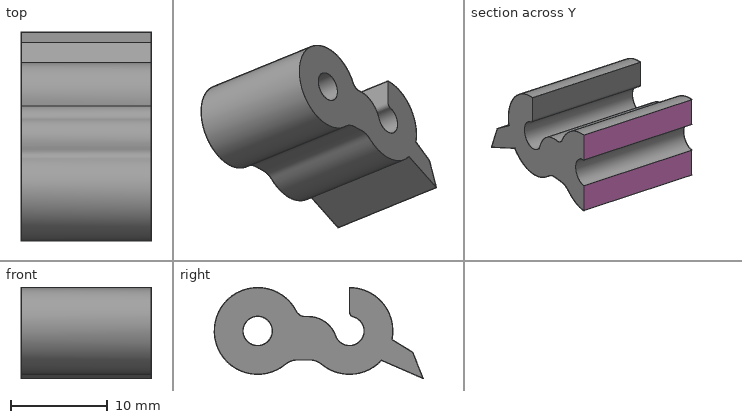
import cadquery as cq
import math

width = 13.5
outer_radius = 4.5
bore_diameter = 3.0
bore_radius = bore_diameter / 2
hook_y = 9.5
neck_top = bore_radius
neck_bottom = -bore_diameter
saddle_radius = 3.0
top_fillet = 1.0
bottom_fillet = 2.0
lip_fillet = 0.5
tip = (17.15, -4.94)
tail_shoulder = (16.07, -2.2)
tail_upper_root_z = -0.89
tail_lower_root_z = -3.05


def leg(hypotenuse, side):
    """Remaining side of a right triangle."""
    return math.sqrt(hypotenuse**2 - side**2)


def toward(start, end, distance):
    """Point at a distance from start on the line to end."""
    length = math.dist(start, end)
    return tuple(s + (e - s) * distance / length for s, e in zip(start, end))


def arc_middle(center, radius, start, end):
    """Middle of the minor arc from start to end."""
    chord_middle = tuple((s + e) / 2 for s, e in zip(start, end))
    return toward(center, chord_middle, radius)


pivot = (0, 0)
hook = (hook_y, 0)

lip_z = leg(bore_radius + lip_fillet, lip_fillet)
lip_center = (hook_y + lip_fillet, lip_z)
saddle_z = neck_top - saddle_radius
saddle_center = (hook_y - leg(bore_radius + saddle_radius, saddle_z), saddle_z)
top_z = neck_top + top_fillet
top_center = (leg(outer_radius + top_fillet, top_z), top_z)
bottom_z = neck_bottom - bottom_fillet
bottom_y = leg(outer_radius + bottom_fillet, bottom_z)
pivot_blend_center = (bottom_y, bottom_z)
hook_blend_center = (hook_y - bottom_y, bottom_z)

lip_bore = toward(hook, lip_center, bore_radius)
saddle_bore = toward(hook, saddle_center, bore_radius)
saddle_crest = (saddle_center[0], neck_top)
top_start = (top_center[0], neck_top)
top_end = toward(pivot, top_center, outer_radius)
pivot_blend_start = toward(pivot, pivot_blend_center, outer_radius)
pivot_blend_end = (pivot_blend_center[0], neck_bottom)
hook_blend_start = (hook_blend_center[0], neck_bottom)
hook_blend_end = toward(hook, hook_blend_center, outer_radius)
lower_root = (hook_y + leg(outer_radius, tail_lower_root_z), tail_lower_root_z)
upper_root = (hook_y + leg(outer_radius, tail_upper_root_z), tail_upper_root_z)
hook_top = (hook_y, outer_radius)

profile = (
    cq.Workplane("YZ")
    .moveTo(*hook_top)
    .lineTo(hook_y, lip_z)
    .threePointArc(arc_middle(lip_center, lip_fillet, (hook_y, lip_z), lip_bore), lip_bore)
    .threePointArc((hook_y, -bore_radius), saddle_bore)
    .threePointArc(arc_middle(saddle_center, saddle_radius, saddle_bore, saddle_crest), saddle_crest)
    .lineTo(*top_start)
    .threePointArc(arc_middle(top_center, top_fillet, top_start, top_end), top_end)
    .threePointArc((-outer_radius, 0), pivot_blend_start)
    .threePointArc(
        arc_middle(pivot_blend_center, bottom_fillet, pivot_blend_start, pivot_blend_end),
        pivot_blend_end,
    )
    .lineTo(*hook_blend_start)
    .threePointArc(
        arc_middle(hook_blend_center, bottom_fillet, hook_blend_start, hook_blend_end),
        hook_blend_end,
    )
    .threePointArc(arc_middle(hook, outer_radius, hook_blend_end, lower_root), lower_root)
    .lineTo(*tip)
    .lineTo(*tail_shoulder)
    .lineTo(*upper_root)
    .threePointArc(arc_middle(hook, outer_radius, upper_root, hook_top), hook_top)
    .close()
)
body = profile.extrude(width)

pivot_bore = cq.Workplane("YZ").circle(bore_radius).extrude(width)
result = body.cut(pivot_bore)